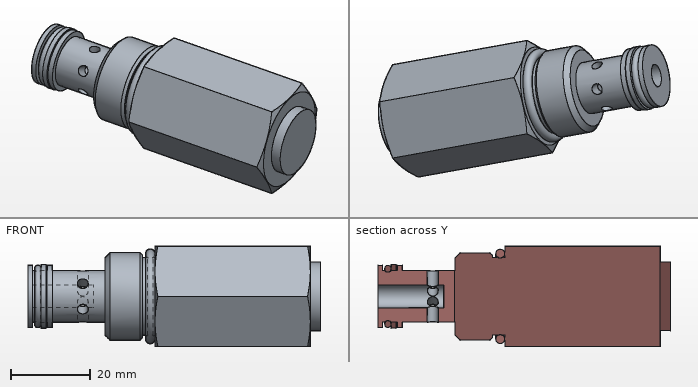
import cadquery as cq
import math


overall_length = 74.1

nose_flange_diameter = 15.85
tube_diameter = 13.2
bore_diameter = 5.7
front_flange_end = 1.25
rear_flange_start = 4.9
rear_flange_end = 6.2
cross_hole_diameter = 2.75
cross_hole_count = 6
cross_hole_x = 13.9
bore_depth = cross_hole_x + cross_hole_diameter

nose_ring_section = 1.7
nose_ring_outer_diameter = nose_flange_diameter
backup_ring_diameter = 16.2
backup_ring_start = 3.4
backup_ring_end = 4.7

collar_start = 19.5
collar_diameter = 22.2
collar_front_chamfer = 1.3
collar_rear_chamfer = 0.7
collar_end = 29.05
housing_ring_section = 2.4
housing_ring_outer_diameter = 24.0
neck_diameter = 19.7
hex_start = 32.15
hex_end = 71.5
hex_across_flats = 25.4
hex_across_corners = hex_across_flats / math.cos(math.pi / 6)
hex_face_diameter = 25.2
hex_corner_chamfer = 0.75

end_cap_diameter = 17.5


def cylinder(start, end, diameter):
    """Solid cylinder on the X axis between two positions."""
    return cq.Workplane("YZ", origin=(start, 0, 0)).circle(diameter / 2).extrude(end - start)


def o_ring(center_x, center_diameter, section_diameter):
    """Round-section ring around the X axis."""
    return (
        cq.Workplane("XY")
        .center(center_x, center_diameter / 2)
        .circle(section_diameter / 2)
        .revolve(360, (-center_x, -center_diameter / 2), (0.75 - center_x, -center_diameter / 2))
    )


def make_nose_o_ring():
    center_x = backup_ring_start - nose_ring_section / 2
    return o_ring(center_x, nose_ring_outer_diameter - nose_ring_section, nose_ring_section)


def make_sleeve():
    sleeve = cylinder(0, collar_start, tube_diameter)
    sleeve = sleeve.union(cylinder(0, front_flange_end, nose_flange_diameter))
    sleeve = sleeve.union(cylinder(rear_flange_start, rear_flange_end, nose_flange_diameter))
    sleeve = sleeve.cut(make_nose_o_ring())
    sleeve = sleeve.cut(cylinder(0, bore_depth, bore_diameter))
    drilling = (
        cq.Workplane("XY", origin=(cross_hole_x, 0, 0))
        .circle(cross_hole_diameter / 2)
        .extrude(tube_diameter, both=True)
    )
    for index in range(cross_hole_count // 2):
        angle = index * 360 / cross_hole_count
        sleeve = sleeve.cut(drilling.rotate((0, 0, 0), (1, 0, 0), angle))
    return sleeve


def make_backup_ring():
    ring = cylinder(backup_ring_start, backup_ring_end, backup_ring_diameter)
    return ring.cut(cylinder(backup_ring_start, backup_ring_end, tube_diameter))


def make_housing_o_ring():
    center_x = hex_start - housing_ring_section / 2
    return o_ring(center_x, housing_ring_outer_diameter - housing_ring_section, housing_ring_section)


def make_hexagon():
    """Hexagonal bar with conically turned corners at both ends."""
    bar = (
        cq.Workplane("YZ", origin=(hex_start, 0, 0))
        .polygon(6, hex_across_corners)
        .extrude(hex_end - hex_start)
    )
    turned_envelope = (
        cq.Workplane("XY")
        .moveTo(hex_start, 0)
        .lineTo(hex_start, hex_face_diameter / 2)
        .lineTo(hex_start + hex_corner_chamfer, hex_across_corners / 2)
        .lineTo(hex_end - hex_corner_chamfer, hex_across_corners / 2)
        .lineTo(hex_end, hex_face_diameter / 2)
        .lineTo(hex_end, 0)
        .close()
        .revolve(360, (0, 0), (1, 0))
    )
    return bar.intersect(turned_envelope)


def make_housing():
    collar = cylinder(collar_start, collar_end, collar_diameter)
    collar = collar.faces("<X").chamfer(collar_front_chamfer)
    collar = collar.faces(">X").chamfer(collar_rear_chamfer)
    neck = cylinder(collar_end, hex_start, neck_diameter)
    neck = neck.cut(make_housing_o_ring())
    return make_hexagon().union(neck).union(collar)


def make_end_cap():
    return cylinder(hex_end, overall_length, end_cap_diameter)


sleeve = make_sleeve()
nose_o_ring = make_nose_o_ring()
backup_ring = make_backup_ring()
housing_o_ring = make_housing_o_ring()
housing = make_housing()
end_cap = make_end_cap()

result = cq.Compound.makeCompound(
    [
        sleeve.val(),
        nose_o_ring.val(),
        backup_ring.val(),
        housing_o_ring.val(),
        housing.val(),
        end_cap.val(),
    ]
)